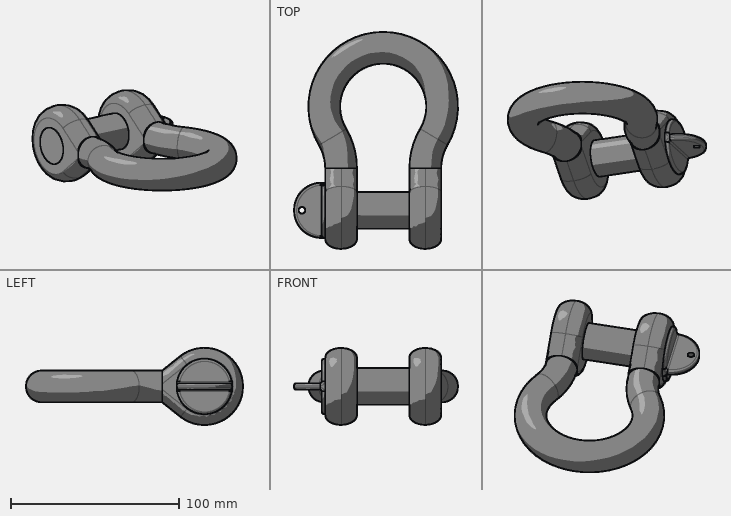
import cadquery as cq
import math

bar_radius = 9.5
bow_radius = 35.0
leg_offset = 25.0
bow_centre_y = 61.5

eye_radius = 23.0
eye_flat_radius = 17.0
eye_half_width = bar_radius
neck_y = 25.0

pin_diameter = 22.0
head_radius = 16.5
head_thickness = 2.0
tab_thickness = 4.0
rim_fillet = 1.5
root_fillet = 1.0
tab_hole_diameter = 3.8
tab_hole_distance = 11.7

eye_outer_x = leg_offset + eye_half_width
head_inner_x = -eye_outer_x
head_outer_x = head_inner_x - head_thickness
root_end_x = head_outer_x - root_fillet
root_half_height = tab_thickness / 2 + root_fillet

bend_height = bow_centre_y - neck_y
bow_overhang = bow_radius - leg_offset
centre_distance = (bend_height**2 + bow_overhang**2) / (2 * bow_overhang)
bend_radius = centre_distance - bow_radius
bend_angle = math.asin(bend_height / centre_distance)

neck_distance = math.hypot(neck_y, bar_radius)
flank_angle = math.atan2(bar_radius, neck_y) + math.acos(eye_radius / neck_distance)
flank_length = math.sqrt(neck_distance**2 - eye_radius**2)


def make_bow():
    """Round bar swept along the bow arc and a reverse bend on each side."""
    join_x = bow_radius * math.cos(bend_angle)
    join_y = bow_centre_y - bow_radius * math.sin(bend_angle)
    bend_centre_x = leg_offset + bend_radius
    mid_x = bend_centre_x - bend_radius * math.cos(bend_angle / 2)
    mid_y = neck_y + bend_radius * math.sin(bend_angle / 2)
    path = (
        cq.Workplane("XY")
        .moveTo(-leg_offset, neck_y)
        .threePointArc((-mid_x, mid_y), (-join_x, join_y))
        .threePointArc((0, bow_centre_y + bow_radius), (join_x, join_y))
        .threePointArc((mid_x, mid_y), (leg_offset, neck_y))
    )
    section = cq.Workplane("XZ", origin=(-leg_offset, neck_y, 0)).circle(bar_radius)
    return section.sweep(path)


def eye_section(plane):
    """Half section of the eye: flat sides below a half-elliptical crown."""
    crown_height = eye_radius - eye_flat_radius
    return (
        cq.Workplane(plane)
        .moveTo(eye_half_width, 0)
        .lineTo(eye_half_width, eye_flat_radius)
        .ellipseArc(eye_half_width, crown_height, 0, 90)
        .ellipseArc(eye_half_width, crown_height, 90, 180)
        .lineTo(-eye_half_width, 0)
        .close()
    )


def make_eye(centre_x):
    """Revolved eye with two flanks that narrow to the bar at the neck."""
    disc = eye_section("XY").revolve(360, (0, 0, 0), (1, 0, 0))
    along_flank = (0, math.sin(flank_angle), -math.cos(flank_angle))
    flank_plane = cq.Plane(origin=(0, 0, 0), xDir=(-1, 0, 0), normal=along_flank)
    flank = eye_section(flank_plane).extrude(2 * flank_length)
    upper_half = cq.Workplane("XY").box(
        2 * eye_half_width, neck_y, eye_radius, centered=(True, False, False)
    )
    flank = flank.intersect(upper_half)
    eye = disc.union(flank).union(flank.mirror("XY"))
    return eye.translate((centre_x, 0, 0))


def make_shackle():
    """Bow with an eye on each leg, bored through both eyes for the pin."""
    body = make_bow()
    for side in (-1, 1):
        body = body.union(make_eye(side * leg_offset))
    bore = cq.Workplane("YZ").circle(pin_diameter / 2).extrude(eye_outer_x, both=True)
    return body.cut(bore)


def make_head():
    """Disc against the outer face of one eye, with a rounded outer rim."""
    disc = cq.Workplane("YZ", origin=(head_outer_x, 0, 0)).circle(head_radius).extrude(head_thickness)
    return disc.faces("<X").edges().fillet(rim_fillet)


def make_tab():
    """Half-round plate in the XY plane with a rounded rim."""
    plate = (
        cq.Workplane("XY", origin=(head_outer_x, 0, 0))
        .circle(head_radius)
        .extrude(tab_thickness / 2, both=True)
        .edges()
        .fillet(rim_fillet)
    )
    outer_half = cq.Workplane("XY", origin=(head_outer_x - head_radius, 0, 0)).box(
        head_radius, 2 * head_radius, tab_thickness, centered=(False, True, True)
    )
    return plate.intersect(outer_half)


def make_tab_root():
    """Foot of the tab with concave fillets onto the head and rounded ends."""
    overlap = 3 * rim_fillet
    blank_half_height = root_half_height + overlap
    upper = (
        cq.Workplane("XZ")
        .moveTo(root_end_x - overlap, tab_thickness / 2)
        .lineTo(root_end_x, tab_thickness / 2)
        .tangentArcPoint((head_outer_x, root_half_height), relative=False)
        .lineTo(head_outer_x, blank_half_height)
        .lineTo(head_inner_x, blank_half_height)
        .lineTo(head_inner_x, 0)
        .lineTo(root_end_x - overlap, 0)
        .close()
        .extrude(head_radius, both=True)
    )
    blank = upper.union(upper.mirror("XY"))
    rim_zone = cq.selectors.BoxSelector(
        (root_end_x - 0.9 * overlap, -2 * head_radius, -0.9 * blank_half_height),
        (head_inner_x - 0.5 * head_thickness, 2 * head_radius, 0.9 * blank_half_height),
    )
    foot = blank.edges("<Y or >Y").edges(rim_zone).fillet(rim_fillet)
    trim = cq.Workplane("XY", origin=(root_end_x, 0, 0)).box(
        head_inner_x - root_end_x, 2 * head_radius, 2 * root_half_height, centered=(False, True, True)
    )
    return foot.intersect(trim)


def make_pin():
    """Shank through both eyes, ending flush, with the head and its drilled tab."""
    shank = (
        cq.Workplane("YZ", origin=(head_inner_x, 0, 0))
        .circle(pin_diameter / 2)
        .extrude(2 * eye_outer_x)
    )
    hole = (
        cq.Workplane("XY", origin=(head_outer_x - tab_hole_distance, 0, 0))
        .circle(tab_hole_diameter / 2)
        .extrude(tab_thickness, both=True)
    )
    return shank.union(make_head()).union(make_tab_root()).union(make_tab()).cut(hole)


shackle = make_shackle()
pin = make_pin()

result = cq.Compound.makeCompound([shackle.val(), pin.val()])